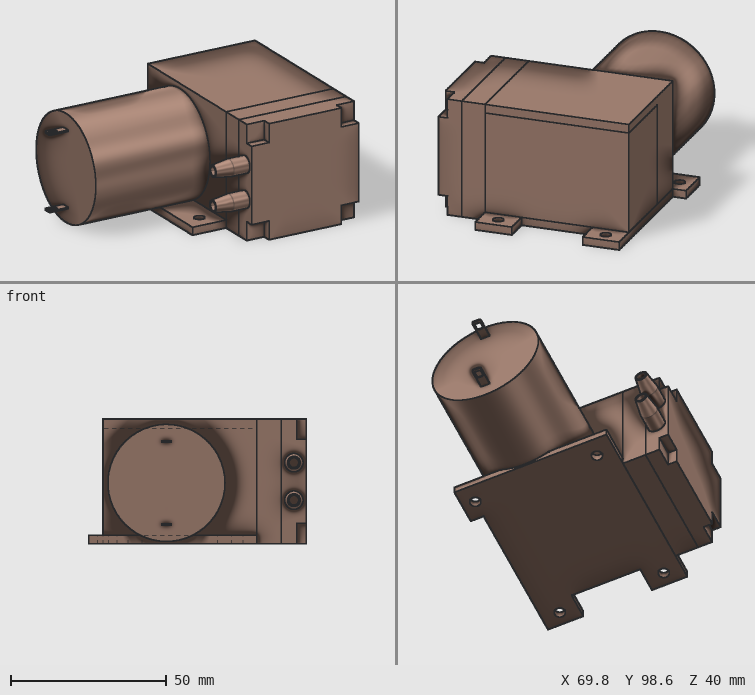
import cadquery as cq


body_depth = 40.0
body_height = 40.0
housing_width = 49.25
plate_width = 8.0
head_width = 8.0
plate_x = housing_width
head_x = plate_x + plate_width

base_thickness = 2.8
ear_width = 12.5
ear_length = 9.0
flange_depth = 12.5
flange_overhang = 4.5
mount_hole_diameter = 3.5

roof_thickness = 3.0
insert_depth = 25.9

notch_width = 3.1
notch_side = 6.5

port_diameter = 5.9
port_tip_diameter = 4.0
port_bore_diameter = 3.2
port_straight_length = 6.0
port_taper_length = 6.0
port_spacing = 12.0

motor_diameter = 37.5
motor_length = 42.6
motor_x = 20.4
motor_z = 19.5

terminal_width = 3.1
terminal_length = 7.0
terminal_thickness = 0.5
terminal_spacing = 26.6
terminal_slot_length = 2.5
terminal_slot_width = 2.2
terminal_slot_to_tip = 2.2
terminal_corner_radius = 0.6


def box(x, y, z, width, depth, height):
    """Box with its lowest corner at (x, y, z)."""
    return cq.Workplane("XY").box(width, depth, height, centered=False).translate((x, y, z))


def rod_toward_front(x, z, diameter, length):
    """Cylinder that starts on the motor face and runs along -Y."""
    return cq.Workplane("XZ").center(x, z).circle(diameter / 2).extrude(length)


def make_terminal(z):
    """Flat solder tag with rounded tip corners and a rounded rectangular slot."""
    tip_y = -motor_length - terminal_length
    tag = (
        cq.Workplane("XY")
        .box(terminal_width, terminal_length, terminal_thickness)
        .edges("|Z and <Y")
        .fillet(terminal_corner_radius)
        .translate((motor_x, tip_y + terminal_length / 2, z))
    )
    slot = (
        cq.Workplane("XY")
        .box(terminal_slot_width, terminal_slot_length, terminal_thickness)
        .edges("|Z")
        .fillet(terminal_corner_radius)
        .translate((motor_x, tip_y + terminal_slot_to_tip, z))
    )
    return tag.cut(slot)


def make_motor():
    motor = rod_toward_front(motor_x, motor_z, motor_diameter, motor_length)
    for side in (-1, 1):
        motor = motor.union(make_terminal(motor_z + side * terminal_spacing / 2))
    return motor


def make_base():
    base = box(0, 0, 0, housing_width, body_depth, base_thickness)
    flange_width = housing_width + flange_overhang
    base = base.union(box(-flange_overhang, -flange_depth, 0, flange_width, flange_depth, base_thickness))
    for ear_x in (0, housing_width - ear_width):
        base = base.union(box(ear_x, body_depth, 0, ear_width, ear_length, base_thickness))

    right_hole_x = housing_width - ear_width / 2
    ear_hole_y = body_depth + ear_length / 2
    flange_hole_y = -flange_depth / 2
    holes = (
        cq.Workplane("XY")
        .pushPoints(
            [
                (ear_width / 2, ear_hole_y),
                (right_hole_x, ear_hole_y),
                (0, flange_hole_y),
                (right_hole_x, flange_hole_y),
            ]
        )
        .circle(mount_hole_diameter / 2)
        .extrude(base_thickness)
    )
    trough = rod_toward_front(motor_x, motor_z, motor_diameter, flange_depth)
    return base.cut(holes).cut(trough)


def make_insert():
    height = body_height - roof_thickness - base_thickness
    return box(0, body_depth - insert_depth, base_thickness, housing_width, insert_depth, height)


def make_housing():
    block = box(0, 0, base_thickness, housing_width, body_depth, body_height - base_thickness)
    return block.cut(make_insert())


def make_valve_plate():
    return box(plate_x, 0, 0, plate_width, body_depth, body_height)


def make_port(z):
    """Hose port with a straight root and a tapered tip."""
    x = head_x + head_width / 2
    root = rod_toward_front(x, z, port_diameter, port_straight_length)
    taper = (
        cq.Workplane("XZ", origin=(x, -port_straight_length, z))
        .circle(port_diameter / 2)
        .workplane(offset=port_taper_length)
        .circle(port_tip_diameter / 2)
        .loft()
    )
    bore = rod_toward_front(x, z, port_bore_diameter, port_straight_length + port_taper_length)
    return root.union(taper).cut(bore)


def make_head():
    head = box(head_x, 0, 0, head_width, body_depth, body_height)
    notch_x = head_x + head_width - notch_width
    for y in (0, body_depth - notch_side):
        for z in (0, body_height - notch_side):
            head = head.cut(box(notch_x, y, z, notch_width, notch_side, notch_side))
    for side in (-1, 1):
        head = head.union(make_port(body_height / 2 + side * port_spacing / 2))
    return head


base = make_base()
housing = make_housing()
insert = make_insert()
valve_plate = make_valve_plate()
head = make_head()
motor = make_motor()

result = cq.Compound.makeCompound(
    [
        base.val(),
        housing.val(),
        insert.val(),
        valve_plate.val(),
        head.val(),
        motor.val(),
    ]
)